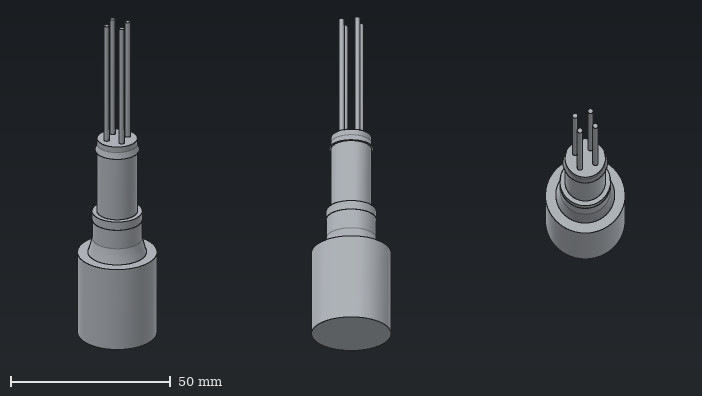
import cadquery as cq

total_height = 107.8

body_diameter = 25.0
body_height = 28.0

flare_base_diameter = 18.4
flare_height = 5.0
flare_sag = 0.1

collar_lower_diameter = 15.7
collar_lower_height = 6.5
collar_upper_diameter = 15.8
collar_upper_height = 2.9

neck_diameter = 12.7
neck_top = 67.8
neck_tip_height = 1.9

barb_diameter = 14.0
barb_height = 2.0

wire_diameter = 1.7
wire_spacing = 5.1

flare_top = body_height + flare_height
collar_step = flare_top + collar_lower_height
collar_top = collar_step + collar_upper_height
barb_top = neck_top - neck_tip_height
barb_bottom = barb_top - barb_height


def make_housing():
    """Body, concave flare, two-part collar and barbed neck, turned about Z."""
    body_radius = body_diameter / 2
    flare_base_radius = flare_base_diameter / 2
    collar_lower_radius = collar_lower_diameter / 2
    collar_upper_radius = collar_upper_diameter / 2
    neck_radius = neck_diameter / 2
    barb_radius = barb_diameter / 2

    flare_middle_radius = (flare_base_radius + collar_lower_radius) / 2 - flare_sag
    flare_middle_height = (body_height + flare_top) / 2

    half_profile = (
        cq.Workplane("XZ")
        .moveTo(0, 0)
        .lineTo(body_radius, 0)
        .lineTo(body_radius, body_height)
        .lineTo(flare_base_radius, body_height)
        .threePointArc(
            (flare_middle_radius, flare_middle_height),
            (collar_lower_radius, flare_top),
        )
        .lineTo(collar_lower_radius, collar_step)
        .lineTo(collar_upper_radius, collar_step)
        .lineTo(collar_upper_radius, collar_top)
        .lineTo(neck_radius, collar_top)
        .lineTo(neck_radius, barb_bottom)
        .lineTo(barb_radius, barb_bottom)
        .lineTo(neck_radius, barb_top)
        .lineTo(neck_radius, neck_top)
        .lineTo(0, neck_top)
        .close()
    )
    return half_profile.revolve(360, (0, 0, 0), (0, 1, 0))


def add_wires(housing):
    """Four straight wires in a square pattern, standing on the neck's end face."""
    wires = (
        cq.Workplane("XY")
        .workplane(offset=neck_top)
        .rarray(wire_spacing, wire_spacing, 2, 2)
        .circle(wire_diameter / 2)
        .extrude(total_height - neck_top)
    )
    return housing.union(wires)


result = add_wires(make_housing())